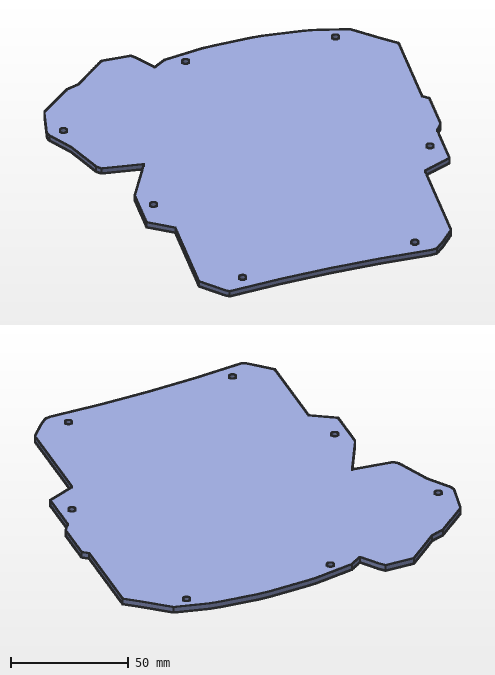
import cadquery as cq

width = 152.5
length = 162.0
thickness = 3.0
hole_diameter = 3.0

shoulder_y = 159.5
right_top_y = 147.2
right_bottom_y = 35.2
tab_bottom_y = 24.5

tab_right_x = 100.6

right_side_top = (width, 135.5)
right_side_middle = (150.5, 81.8)
right_side_bottom = (151.7, 45.9)

left_side = [
    (7.3, 61.0),
    (5.2, 78.3),
    (5.0, 83.3),
    (5.0, 100.6),
    (5.3, 105.8),
    (7.5, 122.7),
    (8.3, 127.2),
    (12.3, 142.1),
]

upper_edge = [
    (21.5, 153.2),
    (26.5, shoulder_y),
    (60.8, shoulder_y),
    (62.9, length),
    (79.3, length),
    (82.7, shoulder_y),
    (tab_right_x, shoulder_y),
    (105.0, right_top_y),
    (143.1, right_top_y),
    (149.1, 141.6),
    (152.2, 138.1),
    right_side_top,
]

lower_edge = [
    (150.5, 44.2),
    (142.0, right_bottom_y),
    (107.5, right_bottom_y),
    (tab_right_x, tab_bottom_y),
    (83.3, tab_bottom_y),
    (66.1, 33.9),
]

lobe_edge = [
    (63.4, 15.7),
    (61.6, 14.0),
    (47.0, 7.3),
    (37.5, 0.5),
    (35.5, 0),
    (22.9, 2.8),
    (12.5, 15.9),
    (11.0, 21.2),
    (10.9, 21.7),
    (7.3, 26.1),
    (0, right_bottom_y),
    (0.6, 48.1),
    (2.9, 50.2),
    (10.4, 55.8),
]

hole_centers = [
    (91.1, 153.6),
    (15.0, 134.8),
    (145.9, 130.1),
    (10.9, 69.4),
    (145.0, 53.6),
    (91.1, 30.5),
    (36.3, 7.1),
]


def make_plate():
    """Flat plate with straight edges and one bowed side."""
    outline = cq.Workplane("XY").moveTo(*left_side[-1])
    for point in upper_edge:
        outline = outline.lineTo(*point)
    outline = outline.threePointArc(right_side_middle, right_side_bottom)
    for point in lower_edge + lobe_edge + left_side[:-1]:
        outline = outline.lineTo(*point)
    return outline.close().extrude(thickness)


def drill_mounting_holes(plate):
    """Through holes near the rim."""
    return plate.faces(">Z").workplane(origin=(0, 0, 0)).pushPoints(hole_centers).hole(hole_diameter)


result = drill_mounting_holes(make_plate())